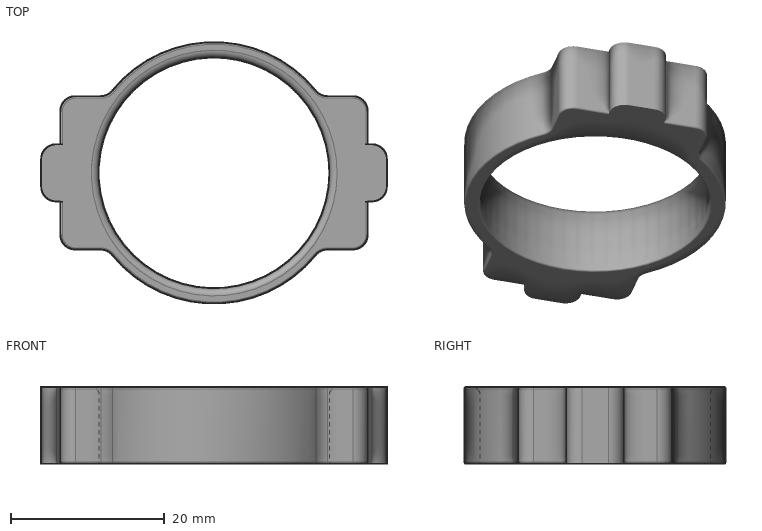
import cadquery as cq

length = 45.0
height = 10.0

ring_radius = 17.0
bore_radius = 15.0
bore_rounding = 1.0

block_length = 40.0
block_width = 20.0

tab_width = 7.45

corner_radius = 2.0
rim_rounding = 0.248


def make_body():
    """Ring disc merged with the block, blended, with rounded rims."""
    disc = cq.Workplane("XY").circle(ring_radius).extrude(height)
    block = (
        cq.Workplane("XY")
        .rect(block_length, block_width)
        .extrude(height)
        .edges("|Z")
        .fillet(corner_radius)
    )
    crossing_x = (ring_radius**2 - (block_width / 2) ** 2) ** 0.5
    reach = 0.45
    crossings = cq.selectors.BoxSelector(
        (-crossing_x - reach, -block_width / 2 - reach, 0),
        (crossing_x + reach, block_width / 2 + reach, height),
    )
    body = disc.union(block).edges("|Z").edges(crossings).fillet(corner_radius)
    return body.faces("<Z or >Z").edges().fillet(rim_rounding)


def make_tabs():
    """Full-length bar whose rounded ends stick out of the block as tabs."""
    return (
        cq.Workplane("XY")
        .rect(length, tab_width)
        .extrude(height)
        .edges("|Z")
        .fillet(corner_radius)
    )


def make_bore():
    """Through bore cutter that flares out along a quarter round at each mouth."""
    return (
        cq.Workplane("XZ")
        .lineTo(bore_radius + rim_rounding, 0)
        .radiusArc((bore_radius, rim_rounding), rim_rounding)
        .lineTo(bore_radius, height - bore_rounding)
        .radiusArc((bore_radius + bore_rounding, height), bore_rounding)
        .lineTo(0, height)
        .close()
        .revolve(360, (0, 0), (0, 1))
    )


result = make_body().union(make_tabs()).cut(make_bore())